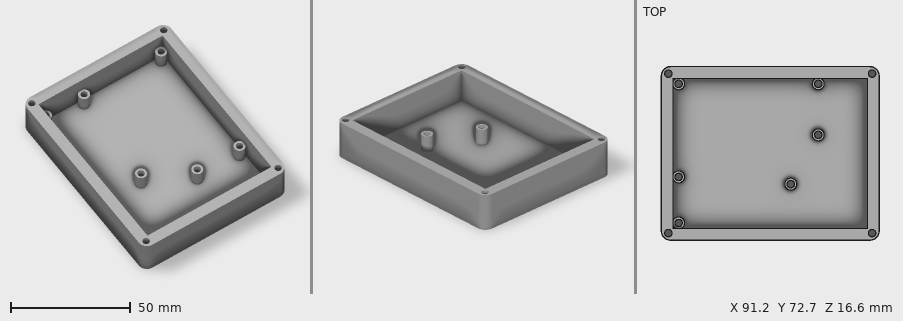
import cadquery as cq

length = 91.25
width = 72.7
height = 16.6
corner_radius = 4.0
wall = 5.0
floor = 2.0

hole_diameter = 3.1
screw_inset = 3.0
screw_depth = 10.0

post_diameter = 5.0
post_height = 7.5
left_column = -38.3
right_column = 20.1
middle_column = 8.6
back_row = 29.1
post_centers = [
    (left_column, back_row),
    (left_column, -9.9),
    (left_column, -29.1),
    (right_column, back_row),
    (right_column, 7.8),
    (middle_column, -12.9),
]


def make_shell():
    """Rounded block with a sharp-cornered rectangular cavity open at the top."""
    block = cq.Workplane("XY").box(length, width, height, centered=(True, True, False))
    block = block.edges("|Z").fillet(corner_radius)
    cavity = (
        cq.Workplane("XY")
        .workplane(offset=floor)
        .rect(length - 2 * wall, width - 2 * wall)
        .extrude(height - floor)
    )
    return block.cut(cavity)


def make_posts():
    """Solid posts, starting at the underside so they join the floor fully."""
    return cq.Workplane("XY").pushPoints(post_centers).circle(post_diameter / 2).extrude(floor + post_height)


def make_post_bores():
    """Bores running from the post tops down to the floor."""
    return (
        cq.Workplane("XY")
        .workplane(offset=floor)
        .pushPoints(post_centers)
        .circle(hole_diameter / 2)
        .extrude(post_height)
    )


def make_screw_holes():
    """Blind holes drilled down from the rim at the four corners."""
    return (
        cq.Workplane("XY")
        .workplane(offset=height - screw_depth)
        .rect(length - 2 * screw_inset, width - 2 * screw_inset, forConstruction=True)
        .vertices()
        .circle(hole_diameter / 2)
        .extrude(screw_depth)
    )


result = make_shell().union(make_posts()).cut(make_post_bores()).cut(make_screw_holes())